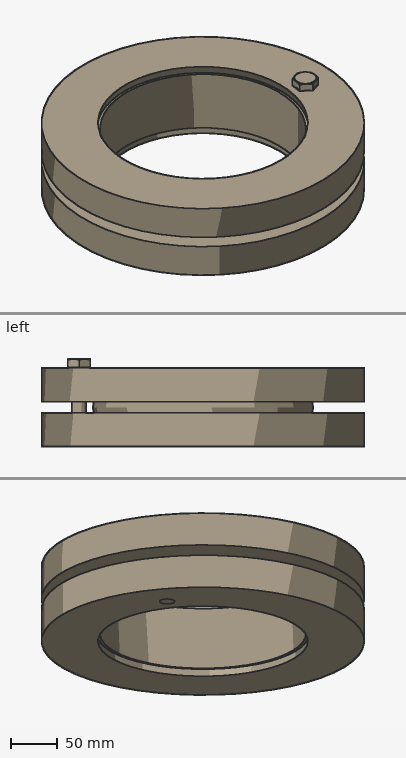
import cadquery as cq
import math

FLANGE_DIAMETER = 345.0
FLANGE_OUTER_FACE_BORE = 224.2
FLANGE_THICKNESS = 36.2
FLANGE_GAP = 11.7

INNER_RING_BORE = 220.0
INNER_RING_CREST_DIAMETER = 235.5
INNER_RING_END_RECESS = 8.3

BOLT_RADIAL_POSITION = 132.5
SHANK_DIAMETER = 16.0
WASHER_FACE_DIAMETER = 22.0
WASHER_FACE_HEIGHT = 0.7
HEAD_ACROSS_FLATS = 24.0
HEAD_HEIGHT = 9.0
HEAD_TOP_DIAMETER = 23.5
HEAD_CHAMFER_ANGLE = 30.0
HEX_HALF_ANGLE = 30.0

UPPER_FLANGE_BOTTOM = FLANGE_THICKNESS + FLANGE_GAP
UPPER_FLANGE_TOP = UPPER_FLANGE_BOTTOM + FLANGE_THICKNESS
HEAD_BOTTOM = UPPER_FLANGE_TOP + WASHER_FACE_HEIGHT
MID_GAP = FLANGE_THICKNESS + FLANGE_GAP / 2
HEAD_ACROSS_CORNERS = HEAD_ACROSS_FLATS / math.cos(math.radians(HEX_HALF_ANGLE))


def taper_radius(height):
    """Radius of the mating tapers, largest at mid-gap and smallest at the outer faces."""
    crest_radius = INNER_RING_CREST_DIAMETER / 2
    slope = (crest_radius - FLANGE_OUTER_FACE_BORE / 2) / MID_GAP
    return crest_radius - slope * abs(height - MID_GAP)


def make_flange(bottom):
    """Ring with a conical bore and a bolt hole passing through it."""
    top = bottom + FLANGE_THICKNESS
    ring = (
        cq.Workplane("XZ")
        .moveTo(taper_radius(bottom), bottom)
        .lineTo(FLANGE_DIAMETER / 2, bottom)
        .lineTo(FLANGE_DIAMETER / 2, top)
        .lineTo(taper_radius(top), top)
        .close()
        .revolve(360, (0, 0, 0), (0, 1, 0))
    )
    bolt_hole = (
        cq.Workplane("XY", origin=(0, BOLT_RADIAL_POSITION, bottom))
        .circle(SHANK_DIAMETER / 2)
        .extrude(FLANGE_THICKNESS)
    )
    return ring.cut(bolt_hole)


def make_inner_ring():
    """Sleeve with a straight bore and two outer tapers that meet in a crest at mid-gap."""
    bottom = INNER_RING_END_RECESS
    top = UPPER_FLANGE_TOP - INNER_RING_END_RECESS
    return (
        cq.Workplane("XZ")
        .moveTo(INNER_RING_BORE / 2, bottom)
        .lineTo(taper_radius(bottom), bottom)
        .lineTo(taper_radius(MID_GAP), MID_GAP)
        .lineTo(taper_radius(top), top)
        .lineTo(INNER_RING_BORE / 2, top)
        .close()
        .revolve(360, (0, 0, 0), (0, 1, 0))
    )


def make_bolt():
    """Hex-head bolt with a washer face, whose shank ends flush with the underside of the lower flange."""
    shank = (
        cq.Workplane("XY", origin=(0, BOLT_RADIAL_POSITION, 0))
        .circle(SHANK_DIAMETER / 2)
        .extrude(UPPER_FLANGE_TOP)
    )
    washer_face = (
        cq.Workplane("XY", origin=(0, BOLT_RADIAL_POSITION, UPPER_FLANGE_TOP))
        .circle(WASHER_FACE_DIAMETER / 2)
        .extrude(WASHER_FACE_HEIGHT)
    )
    head = (
        cq.Workplane("XY", origin=(0, BOLT_RADIAL_POSITION, HEAD_BOTTOM))
        .polygon(6, HEAD_ACROSS_CORNERS)
        .extrude(HEAD_HEIGHT)
    )
    top_radius = HEAD_TOP_DIAMETER / 2
    base_radius = top_radius + HEAD_HEIGHT / math.tan(math.radians(HEAD_CHAMFER_ANGLE))
    corner_cone = cq.Solid.makeCone(
        base_radius,
        top_radius,
        HEAD_HEIGHT,
        pnt=cq.Vector(0, BOLT_RADIAL_POSITION, HEAD_BOTTOM),
    )
    return shank.union(washer_face).union(head.intersect(cq.Workplane(corner_cone)))


lower_flange, upper_flange = [make_flange(bottom) for bottom in (0, UPPER_FLANGE_BOTTOM)]
inner_ring = make_inner_ring()
bolt = make_bolt()

result = cq.Compound.makeCompound(
    [lower_flange.val(), upper_flange.val(), inner_ring.val(), bolt.val()]
)